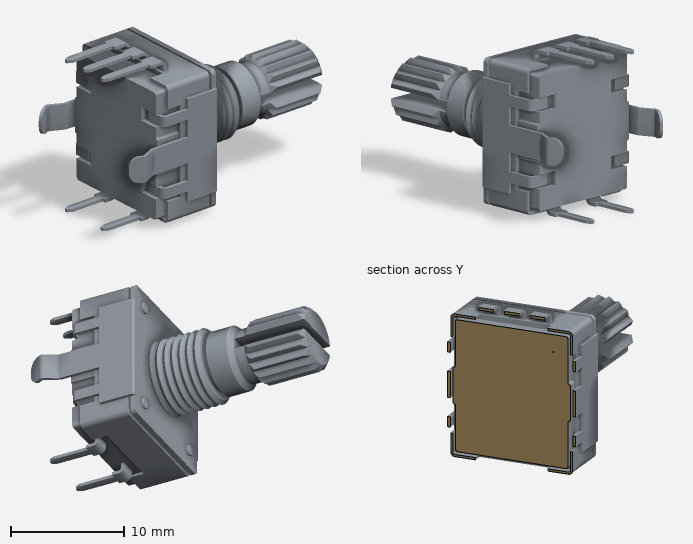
import cadquery as cq
import math


SHEET = 0.3
TAB_BEND_INNER = 0.2
PIN_BEND_INNER = 0.25

HOUSING_WIDTH = 11.9
HOUSING_HEIGHT = 13.4
HOUSING_CORNER = 0.45
PLATE_DEPTH = 0.5
BLOCK_FRONT = 0.75
BLOCK_BACK = 4.05
RIM_BACK = 5.5
RIM_WALL = 0.25
RIM_TOP_NOTCH_WIDTH = 7.0
RIM_SIDE_NOTCH_HEIGHT = 9.0

BASE_WIDTH = 11.0
BASE_HEIGHT = 12.4
BASE_CORNER = 0.25
BASE_BACK = 6.5
BASE_PAD_HEIGHT = 3.4
BASE_PAD_RISE = 0.25
BASE_PAD_FOOT_RADIUS = 0.2

CLIP_INNER = HOUSING_WIDTH / 2
CLIP_OUTER = CLIP_INNER + SHEET
CLIP_DEPTH = 3.45
CLIP_HEIGHT = 10.0
CLIP_EDGE_RADIUS = 0.25
TAB_Z = 3.5
TAB_WIDTH = 1.0
TAB_BACK = 6.25
TAB_END_X = 4.2
TAB_POCKET_FLOOR = 6.0
TAB_POCKET_HEIGHT = 1.3
TAB_POCKET_END_X = 3.5

LEG_WIDTH = 2.5
LEG_KINK_DEPTH = 7.43
LEG_PEAK_X = 6.985
LEG_SLOPE = math.radians(27.5)
LEG_PEAK_RADIUS = 0.45
LEG_KINK_RADIUS = 0.25
LEG_END_RADIUS = 1.0
TERMINAL_BACK = 10.2

PIN_PITCH = 2.5
PIN_SHOULDER_WIDTH = 1.5
PIN_BLADE_WIDTH = 0.8
PIN_TIP_WIDTH = 0.3
PIN_TIP_LENGTH = 0.5
PIN_ROOT_Z = 5.5
TOP_PIN_Z = 7.67
TOP_PIN_FRONT = 3.45
TOP_SHOULDER_BACK = 5.2
BOTTOM_PIN_Z = 7.18
BOTTOM_PIN_FRONT = 5.1
BOTTOM_SHOULDER_BACK = 6.3

RIVET_DIAMETER = 1.0
RIVET_HEIGHT = 0.2
RIVET_EDGE = 0.1
RIVET_X = 4.3
RIVET_Z = 5.0

THREAD_LENGTH = 5.0
THREAD_PITCH = 0.75
THREAD_RADIUS = 3.5
THREAD_ROOT_RADIUS = 3.15
NECK_RADIUS = 2.5
COLLAR_RADIUS = 3.0
COLLAR_START = 5.5
COLLAR_END = 8.0
SHAFT_CHAMFER = 0.5
SPLINE_START = 9.0
SHAFT_END = 15.0
SPLINE_TEETH = 18
SPLINE_TIP_RADIUS = 3.0
SPLINE_TIP_WIDTH = 0.08
SPLINE_ROOT_RADIUS = 2.52
SLOT_WIDTH = 1.0


def slab(width, height, front, back):
    """Block centred on the shaft axis, from one depth to another."""
    return cq.Workplane("XZ").workplane(offset=front).rect(width, height).extrude(back - front)


def rounded_slab(width, height, front, back, radius):
    return slab(width, height, front, back).edges("|Y").fillet(radius)


def both_sides(shape):
    return shape.union(shape.mirror("YZ"))


def nearest(point):
    """Selector for the edge whose middle is closest to a point."""
    return cq.selectors.NearestToPointSelector(point)


def polar_point(radius, angle):
    return (radius * math.cos(angle), radius * math.sin(angle))


def make_rim():
    """Thin wall behind the housing block, open in the middle of all four sides."""
    rim = rounded_slab(HOUSING_WIDTH, HOUSING_HEIGHT, BLOCK_BACK, RIM_BACK, HOUSING_CORNER)
    inside_width = HOUSING_WIDTH - 2 * RIM_WALL
    inside_height = HOUSING_HEIGHT - 2 * RIM_WALL
    inside = rounded_slab(
        inside_width, inside_height, BLOCK_BACK, RIM_BACK, HOUSING_CORNER - RIM_WALL
    )
    top_notch = slab(RIM_TOP_NOTCH_WIDTH, HOUSING_HEIGHT, BLOCK_BACK, RIM_BACK)
    side_notch = slab(HOUSING_WIDTH, RIM_SIDE_NOTCH_HEIGHT, BLOCK_BACK, RIM_BACK)
    return rim.cut(inside).cut(top_notch).cut(side_notch)


def make_base():
    """Moulded base with a raised pad on each side and pockets for the clip tabs."""
    base = rounded_slab(BASE_WIDTH, BASE_HEIGHT, 0, BASE_BACK, BASE_CORNER)
    pads = slab(BASE_WIDTH + 2 * BASE_PAD_RISE, BASE_PAD_HEIGHT, BLOCK_BACK, BASE_BACK)
    base = base.union(pads)
    for x in (-BASE_WIDTH / 2, BASE_WIDTH / 2):
        for z in (-BASE_PAD_HEIGHT / 2, BASE_PAD_HEIGHT / 2):
            foot = nearest((x, -(BLOCK_BACK + BASE_BACK) / 2, z))
            base = base.edges(foot).fillet(BASE_PAD_FOOT_RADIUS)
    pocket_length = HOUSING_WIDTH / 2 - TAB_POCKET_END_X
    pocket_x = TAB_POCKET_END_X + pocket_length / 2
    pockets = (
        cq.Workplane("XZ")
        .workplane(offset=TAB_POCKET_FLOOR)
        .pushPoints([(x, z) for x in (-pocket_x, pocket_x) for z in (-TAB_Z, TAB_Z)])
        .rect(pocket_length, TAB_POCKET_HEIGHT)
        .extrude(BASE_BACK - TAB_POCKET_FLOOR)
    )
    return base.cut(pockets)


def make_housing():
    plate = rounded_slab(HOUSING_WIDTH, HOUSING_HEIGHT, 0, PLATE_DEPTH, HOUSING_CORNER)
    block = rounded_slab(
        HOUSING_WIDTH, HOUSING_HEIGHT, BLOCK_FRONT, BLOCK_BACK, HOUSING_CORNER
    )
    return make_base().union(plate).union(block).union(make_rim())


def make_tab(z):
    """Strip that runs back along the side and folds over the back of the base."""
    tab = (
        cq.Workplane("XY")
        .workplane(offset=z - TAB_WIDTH / 2)
        .moveTo(CLIP_INNER, -CLIP_DEPTH)
        .lineTo(CLIP_OUTER, -CLIP_DEPTH)
        .lineTo(CLIP_OUTER, -TAB_BACK)
        .lineTo(TAB_END_X, -TAB_BACK)
        .lineTo(TAB_END_X, -TAB_BACK + SHEET)
        .lineTo(CLIP_INNER, -TAB_BACK + SHEET)
        .close()
        .extrude(TAB_WIDTH)
    )
    outer_bend = (CLIP_OUTER, -TAB_BACK, z)
    tab = tab.edges(nearest(outer_bend)).fillet(TAB_BEND_INNER + SHEET)
    inner_bend = (CLIP_INNER, -TAB_BACK + SHEET, z)
    return tab.edges(nearest(inner_bend)).fillet(TAB_BEND_INNER)


def make_snap_leg():
    """Strip that bows outwards behind the housing and ends in a rounded tongue."""
    peak_depth = LEG_KINK_DEPTH + (LEG_PEAK_X - CLIP_OUTER) / math.tan(LEG_SLOPE)
    kink_shift = SHEET * math.tan(LEG_SLOPE / 2)
    inner_peak_x = LEG_PEAK_X - SHEET / math.cos(LEG_SLOPE)
    end_x = LEG_PEAK_X - (TERMINAL_BACK - peak_depth) * math.tan(LEG_SLOPE)
    outer_kink = (CLIP_OUTER, -LEG_KINK_DEPTH)
    inner_kink = (CLIP_INNER, -LEG_KINK_DEPTH + kink_shift)
    outer_peak = (LEG_PEAK_X, -peak_depth)
    inner_peak = (inner_peak_x, -peak_depth)
    outer_end = (end_x, -TERMINAL_BACK)
    inner_end = (
        end_x - SHEET * math.cos(LEG_SLOPE),
        -TERMINAL_BACK + SHEET * math.sin(LEG_SLOPE),
    )
    leg = (
        cq.Workplane("XY")
        .workplane(offset=-LEG_WIDTH / 2)
        .moveTo(CLIP_INNER, -CLIP_DEPTH)
        .lineTo(CLIP_OUTER, -CLIP_DEPTH)
        .lineTo(*outer_kink)
        .lineTo(*outer_peak)
        .lineTo(*outer_end)
        .lineTo(*inner_end)
        .lineTo(*inner_peak)
        .lineTo(*inner_kink)
        .close()
        .extrude(LEG_WIDTH)
    )
    bends = (
        (outer_kink, LEG_KINK_RADIUS),
        (inner_kink, LEG_KINK_RADIUS + SHEET),
        (outer_peak, LEG_PEAK_RADIUS),
        (inner_peak, LEG_PEAK_RADIUS - SHEET),
    )
    for (x, y), radius in bends:
        leg = leg.edges(nearest((x, y, 0))).fillet(radius)
    for z in (-LEG_WIDTH / 2, LEG_WIDTH / 2):
        middle_x = (outer_end[0] + inner_end[0]) / 2
        middle_y = (outer_end[1] + inner_end[1]) / 2
        corner = nearest((middle_x, middle_y, z))
        leg = leg.edges(corner).fillet(LEG_END_RADIUS)
    return leg


def make_clip():
    side = (
        cq.Workplane("XY")
        .box(SHEET, CLIP_DEPTH, CLIP_HEIGHT)
        .translate((CLIP_INNER + SHEET / 2, -CLIP_DEPTH / 2, 0))
        .edges(">X and >Y")
        .fillet(CLIP_EDGE_RADIUS)
    )
    return side.union(make_tab(TAB_Z)).union(make_tab(-TAB_Z)).union(make_snap_leg())


def make_pin(x, outer_z, front, shoulder_back):
    """Terminal that rises from the base, bends backwards and narrows to a blade."""
    inner_z = outer_z - SHEET
    shoulder = (
        cq.Workplane("YZ")
        .workplane(offset=x - PIN_SHOULDER_WIDTH / 2)
        .moveTo(-front, PIN_ROOT_Z)
        .lineTo(-front, outer_z)
        .lineTo(-shoulder_back, outer_z)
        .lineTo(-shoulder_back, inner_z)
        .lineTo(-front - SHEET, inner_z)
        .lineTo(-front - SHEET, PIN_ROOT_Z)
        .close()
        .extrude(PIN_SHOULDER_WIDTH)
    )
    outer_bend = nearest((x, -front, outer_z))
    shoulder = shoulder.edges(outer_bend).fillet(PIN_BEND_INNER + SHEET)
    inner_bend = nearest((x, -front - SHEET, inner_z))
    shoulder = shoulder.edges(inner_bend).fillet(PIN_BEND_INNER)

    half_blade = PIN_BLADE_WIDTH / 2
    half_tip = PIN_TIP_WIDTH / 2
    taper_start = -TERMINAL_BACK + PIN_TIP_LENGTH
    blade = (
        cq.Workplane("XY")
        .workplane(offset=inner_z)
        .moveTo(x - half_blade, -shoulder_back)
        .lineTo(x - half_blade, taper_start)
        .lineTo(x - half_tip, -TERMINAL_BACK)
        .lineTo(x + half_tip, -TERMINAL_BACK)
        .lineTo(x + half_blade, taper_start)
        .lineTo(x + half_blade, -shoulder_back)
        .close()
        .extrude(SHEET)
    )
    return shoulder.union(blade)


def make_pins():
    pins = make_pin(0, TOP_PIN_Z, TOP_PIN_FRONT, TOP_SHOULDER_BACK)
    for x in (-PIN_PITCH, PIN_PITCH):
        top_pin = make_pin(x, TOP_PIN_Z, TOP_PIN_FRONT, TOP_SHOULDER_BACK)
        bottom_pin = make_pin(x, BOTTOM_PIN_Z, BOTTOM_PIN_FRONT, BOTTOM_SHOULDER_BACK)
        pins = pins.union(top_pin).union(bottom_pin.mirror("XY"))
    return pins


def make_rivets():
    return (
        cq.Workplane("XZ")
        .pushPoints([(x, z) for x in (-RIVET_X, RIVET_X) for z in (-RIVET_Z, RIVET_Z)])
        .circle(RIVET_DIAMETER / 2)
        .extrude(-RIVET_HEIGHT)
        .faces(">Y")
        .edges()
        .fillet(RIVET_EDGE)
    )


def make_bushing():
    """Bushing with ring-shaped thread ridges, from its outer end down to the mounting face."""
    ridges = int(THREAD_LENGTH / THREAD_PITCH) + 1
    profile = cq.Workplane("XY").moveTo(0, THREAD_LENGTH).lineTo(THREAD_ROOT_RADIUS, THREAD_LENGTH)
    for ridge in range(ridges):
        top = THREAD_LENGTH - ridge * THREAD_PITCH
        profile = profile.lineTo(THREAD_RADIUS, top - THREAD_PITCH / 2)
        profile = profile.lineTo(THREAD_ROOT_RADIUS, top - THREAD_PITCH)
    bottom = THREAD_LENGTH - ridges * THREAD_PITCH
    return profile.lineTo(0, bottom).close().revolve(360, (0, 0), (0, 1))


def make_shaft():
    """Shaft with a collar and a splined, slotted end."""
    body = (
        cq.Workplane("XY")
        .lineTo(NECK_RADIUS, 0)
        .lineTo(NECK_RADIUS, COLLAR_START)
        .lineTo(COLLAR_RADIUS, COLLAR_START)
        .lineTo(COLLAR_RADIUS, COLLAR_END - SHAFT_CHAMFER)
        .lineTo(NECK_RADIUS, COLLAR_END)
        .lineTo(NECK_RADIUS, SPLINE_START)
        .lineTo(0, SPLINE_START)
        .close()
        .revolve(360, (0, 0), (0, 1))
    )
    outline = []
    tip_half_angle = math.asin(SPLINE_TIP_WIDTH / 2 / SPLINE_TIP_RADIUS)
    root_angle = math.pi / SPLINE_TEETH
    for tooth in range(SPLINE_TEETH):
        tooth_angle = 2 * math.pi * tooth / SPLINE_TEETH
        outline.append(polar_point(SPLINE_TIP_RADIUS, tooth_angle - tip_half_angle))
        outline.append(polar_point(SPLINE_TIP_RADIUS, tooth_angle + tip_half_angle))
        outline.append(polar_point(SPLINE_ROOT_RADIUS, tooth_angle + root_angle))
    length = SHAFT_END - SPLINE_START
    teeth = cq.Workplane("XZ").workplane(offset=-SHAFT_END).polyline(outline).close().extrude(length)
    envelope = (
        cq.Workplane("XZ")
        .workplane(offset=-SHAFT_END)
        .circle(SPLINE_TIP_RADIUS)
        .extrude(length)
        .edges()
        .chamfer(SHAFT_CHAMFER)
    )
    slot = slab(2 * SPLINE_TIP_RADIUS, SLOT_WIDTH, -SHAFT_END, -COLLAR_END)
    return body.union(teeth.intersect(envelope)).cut(slot)


result = (
    make_housing()
    .union(both_sides(make_clip()))
    .union(make_pins())
    .union(make_rivets())
    .union(make_bushing())
    .union(make_shaft())
)